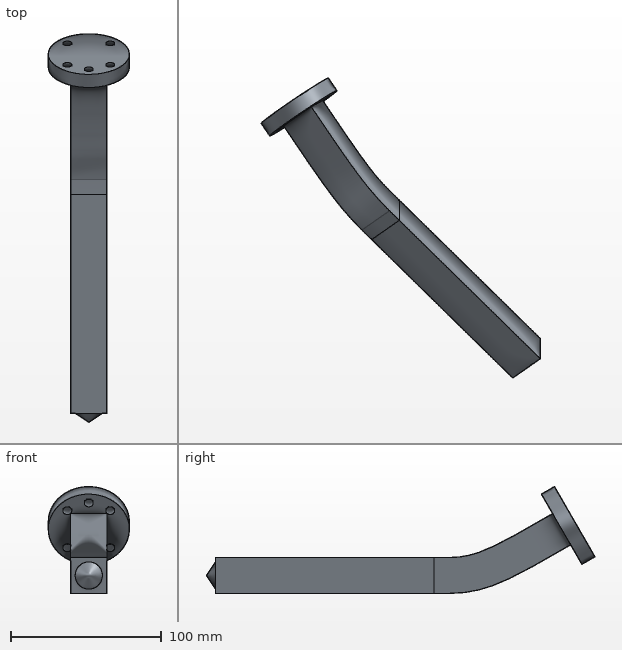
import cadquery as cq
import math

BAR_SIDE = 24.0
BAR_LENGTH = 145.2

TIP_DIAMETER = 18.0
TIP_LENGTH = 6.0

NECK_LEAD = 10.0
NECK_END_Y = 84.5
NECK_END_Z = 30.7
NECK_MIDDLE_Y = 49.0
NECK_MIDDLE_Z = 10.8
TILT = 30.0

FLANGE_DIAMETER = 54.0
FLANGE_THICKNESS = 10.0
BOLT_CIRCLE_RADIUS = 20.0
BOLT_HOLE_DIAMETER = 6.0
BOLT_HOLE_ANGLES = (45, 90, 135, 225, 315)

BACKWARD = cq.Vector(0, 1, 0)
NECK_DIRECTION = cq.Vector(0, math.cos(math.radians(TILT)), math.sin(math.radians(TILT)))
BAR_REAR_PLANE = cq.Plane(origin=(0, 0, 0), xDir=(-1, 0, 0), normal=BACKWARD)
FLANGE_PLANE = cq.Plane(
    origin=(0, NECK_END_Y, NECK_END_Z), xDir=(-1, 0, 0), normal=NECK_DIRECTION
)


def make_bar():
    return cq.Workplane(BAR_REAR_PLANE).rect(BAR_SIDE, BAR_SIDE).extrude(-BAR_LENGTH)


def make_tip():
    tip_solid = cq.Solid.makeCone(
        TIP_DIAMETER / 2, 0, TIP_LENGTH, pnt=cq.Vector(0, -BAR_LENGTH, 0), dir=-BACKWARD
    )
    return cq.Workplane(obj=tip_solid)


def make_neck():
    lead = cq.Workplane(BAR_REAR_PLANE).rect(BAR_SIDE, BAR_SIDE).extrude(NECK_LEAD)
    bend_start = cq.Vector(0, NECK_LEAD, 0)
    bend_middle = cq.Vector(0, NECK_MIDDLE_Y, NECK_MIDDLE_Z)
    bend_path = cq.Workplane(obj=cq.Edge.makeSpline(
        [bend_start, bend_middle, FLANGE_PLANE.origin],
        tangents=[BACKWARD, NECK_DIRECTION]
    ))
    bend = (
        cq.Workplane(BAR_REAR_PLANE)
        .workplane(offset=NECK_LEAD)
        .rect(BAR_SIDE, BAR_SIDE)
        .sweep(bend_path)
    )
    return lead.union(bend).solids()


def make_flange():
    plate = cq.Workplane(FLANGE_PLANE).circle(FLANGE_DIAMETER / 2).extrude(FLANGE_THICKNESS)
    hole_centres = [
        (
            BOLT_CIRCLE_RADIUS * math.cos(math.radians(angle)),
            BOLT_CIRCLE_RADIUS * math.sin(math.radians(angle)),
        )
        for angle in BOLT_HOLE_ANGLES
    ]
    bolt_holes = (
        cq.Workplane(FLANGE_PLANE)
        .pushPoints(hole_centres)
        .circle(BOLT_HOLE_DIAMETER / 2)
        .extrude(FLANGE_THICKNESS)
    )
    return plate.cut(bolt_holes).solids()


bar = make_bar()
tip = make_tip()
neck = make_neck()
flange = make_flange()

result = cq.Compound.makeCompound([bar.val(), tip.val(), neck.val(), flange.val()])